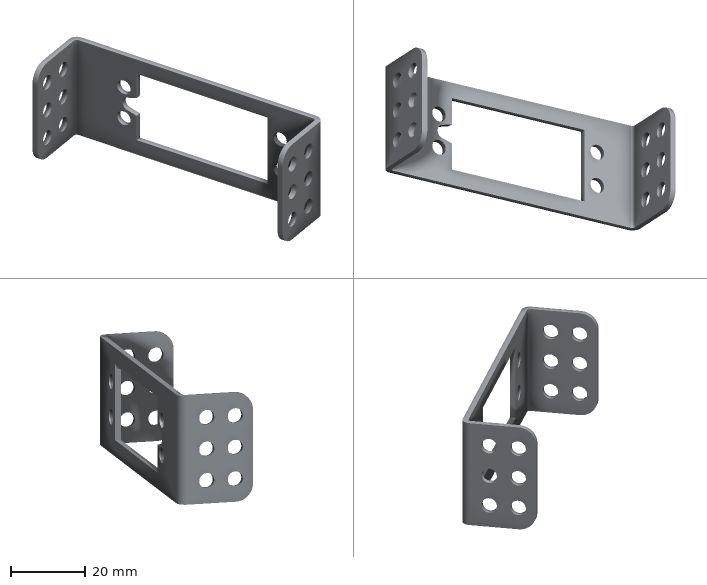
import cadquery as cq
import math

length = 80.0
depth = 20.8
height = 30.0
thickness = 1.6
inner_bend_radius = 0.8
outer_bend_radius = inner_bend_radius + thickness
flange_corner_radius = 4.8

hole_diameter = 4.2
opening_center_x = 2.0
opening_width = 41.8
opening_height = 21.0
web_hole_spacing_x = 50.0
web_hole_spacing_z = 9.8

notch_radius = 2.0
notch_reach = 4.6
notch_flare_angle = math.radians(16)

flange_hole_rows = 3
flange_hole_columns = 2
flange_hole_pitch_z = 8.7
flange_hole_pitch_y = 8.0
flange_hole_edge_distance = 5.0

back_y = depth / 2
front_y = -depth / 2


def bent_strip():
    """U-shaped sheet, open toward -Y, with rounded bends and flange corners."""
    outer = cq.Workplane("XY").box(length, depth, height)
    outer = outer.edges("|Z and >Y").fillet(outer_bend_radius)
    inner = cq.Workplane("XY").box(length - 2 * thickness, depth, height)
    inner = inner.edges("|Z and >Y").fillet(inner_bend_radius)
    strip = outer.cut(inner.translate((0, -thickness, 0)))
    return strip.edges("|X and <Y").fillet(flange_corner_radius)


def web_plane():
    """Sketch plane on the back face; local axes are X and Z, normal is -Y."""
    return cq.Workplane("XZ", origin=(opening_center_x, back_y, 0))


def servo_opening():
    return web_plane().rect(opening_width, opening_height).extrude(thickness)


def web_holes():
    holes = web_plane().rect(web_hole_spacing_x, web_hole_spacing_z, forConstruction=True)
    return holes.vertices().circle(hole_diameter / 2).extrude(thickness)


def cable_notch():
    mouth_x = -opening_width / 2
    tip_x = mouth_x - notch_reach
    arc_center_x = tip_x + notch_radius
    tangent_x = arc_center_x - notch_radius * math.sin(notch_flare_angle)
    tangent_z = notch_radius * math.cos(notch_flare_angle)
    mouth_z = tangent_z + (mouth_x - tangent_x) * math.tan(notch_flare_angle)
    return (
        web_plane()
        .moveTo(mouth_x, -mouth_z)
        .lineTo(tangent_x, -tangent_z)
        .threePointArc((tip_x, 0), (tangent_x, tangent_z))
        .lineTo(mouth_x, mouth_z)
        .close()
        .extrude(thickness)
    )


def flange_holes():
    """Hole grid running through both flanges."""
    grid_y = front_y + flange_hole_edge_distance + flange_hole_pitch_y * (flange_hole_columns - 1) / 2
    return (
        cq.Workplane("YZ", origin=(0, grid_y, 0))
        .rarray(flange_hole_pitch_y, flange_hole_pitch_z, flange_hole_columns, flange_hole_rows)
        .circle(hole_diameter / 2)
        .extrude(length / 2, both=True)
    )


result = bent_strip()
for cutter in (servo_opening(), web_holes(), cable_notch(), flange_holes()):
    result = result.cut(cutter)